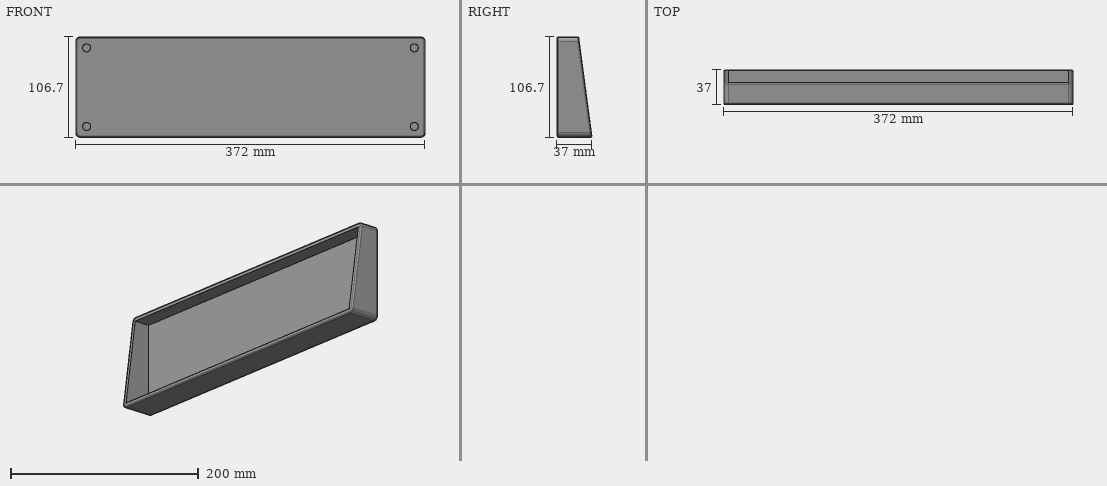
import cadquery as cq
import math

length = 372.0
height = 106.7
depth = 37.0
rim_slope = 7.6

wall = 5.0
corner_radius = 5.0
back_edge_fillet = 1.5
rim_edge_fillet = 1.5

stock_depth = 2 * depth

foot_diameter = 8.5
foot_inset = 11.5
foot_depth = 1.0


def xz_block(size_x, size_z, y_start, y_end):
    """Box centred on X and Z that spans y_start to y_end."""
    return (
        cq.Workplane("XZ", origin=(0, y_start, 0))
        .rect(size_x, size_z)
        .extrude(-(y_end - y_start))
    )


def slope_cutter():
    """Everything in front of the sloped rim, which leans back towards the top."""
    run_per_rise = math.tan(math.radians(rim_slope))
    secant = 1 / math.cos(math.radians(rim_slope))
    sharp_depth = depth + rim_edge_fillet * (run_per_rise + secant - 1)
    sharp_depth_top = sharp_depth - run_per_rise * height
    return (
        cq.Workplane("YZ", origin=(-length, 0, 0))
        .polyline([
            (sharp_depth, -height / 2),
            (sharp_depth_top, height / 2),
            (stock_depth, height / 2),
            (stock_depth, -height / 2),
        ])
        .close()
        .extrude(2 * length)
    )


def wedge_body():
    """Solid wedge with rounded corners and softened outer edges."""
    body = xz_block(length, height, 0, stock_depth)
    body = body.edges("|Y").fillet(corner_radius)
    body = body.cut(slope_cutter())
    body = body.faces("<Y").edges().fillet(back_edge_fillet)
    return body.faces(">Y").edges().fillet(rim_edge_fillet)


def cavity():
    """Sharp-cornered pocket that leaves an even wall around and behind it."""
    return xz_block(length - 2 * wall, height - 2 * wall, wall, stock_depth)


def foot_recesses():
    """Shallow round recess for a rubber foot near each corner of the back plate."""
    return (
        cq.Workplane("XZ")
        .rect(length - 2 * foot_inset, height - 2 * foot_inset, forConstruction=True)
        .vertices()
        .circle(foot_diameter / 2)
        .extrude(-foot_depth)
    )


result = wedge_body().cut(cavity()).cut(foot_recesses())